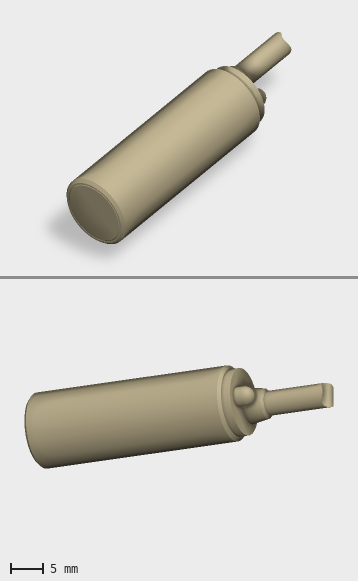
import cadquery as cq

total_length = 48.7

sleeve_diameter = 12.0
sleeve_length = 33.55
sleeve_chamfer = 0.5
bore_diameter = 10.4

face_chamfer = 0.17
cap_diameter = 10.6
cap_end = 35.0

cable_diameter = 3.9
cable_x = -2.3
cable_wave_height = 0.465

relief_base_diameter = 5.75
relief_tip_diameter = 4.8
relief_end = 38.25
relief_edge = 0.4

lamp_diameter = 3.0
lamp_x = 2.6
lamp_dome_start = 36.35


def cylinder(diameter, start, end, x=0.0):
    """Cylinder parallel to Y between two Y positions."""
    plane = cq.Plane(origin=(x, start, 0), xDir=(1, 0, 0), normal=(0, 1, 0))
    return cq.Workplane(plane).circle(diameter / 2).extrude(end - start)


def make_sleeve():
    """Tube with both outer rims chamfered."""
    tube = cylinder(sleeve_diameter, 0, sleeve_length).faces("<Y or >Y").chamfer(sleeve_chamfer)
    return tube.cut(cylinder(bore_diameter, 0, sleeve_length))


def make_strain_relief():
    """Tapered boot around the cable with a bevelled tip."""
    base_radius = relief_base_diameter / 2
    tip_radius = relief_tip_diameter / 2
    profile = (
        cq.Workplane("XY", origin=(cable_x, 0, 0))
        .moveTo(0, cap_end)
        .lineTo(base_radius, cap_end)
        .lineTo(tip_radius, relief_end - relief_edge)
        .lineTo(tip_radius - relief_edge, relief_end)
        .lineTo(0, relief_end)
        .close()
    )
    return profile.revolve(360, (0, 0, 0), (0, 1, 0))


def make_cable():
    """Round cable whose end is cut by an S-shaped wave running across X."""
    radius = cable_diameter / 2
    wave_middle = total_length - cable_wave_height
    wave_bottom = wave_middle - cable_wave_height
    outline = (
        cq.Workplane("XY", origin=(cable_x, 0, 0))
        .moveTo(-radius, cap_end)
        .lineTo(-radius, wave_middle)
        .threePointArc((-radius / 2, total_length), (0, wave_middle))
        .threePointArc((radius / 2, wave_bottom), (radius, wave_middle))
        .lineTo(radius, cap_end)
        .close()
        .extrude(radius, both=True)
    )
    return cylinder(cable_diameter, cap_end, total_length, cable_x).intersect(outline)


def make_lamp():
    """Indicator lamp: a short cylinder with a hemispherical dome."""
    dome = cq.Workplane("XY", origin=(lamp_x, lamp_dome_start, 0)).sphere(lamp_diameter / 2)
    return cylinder(lamp_diameter, cap_end, lamp_dome_start, lamp_x).union(dome)


def make_core():
    """Rod filling the sleeve bore, with the cap seated on the sleeve end."""
    rod = cylinder(bore_diameter, 0, sleeve_length).faces("<Y").chamfer(face_chamfer)
    cap = cylinder(cap_diameter, sleeve_length, cap_end)
    return rod.union(cap).union(make_strain_relief()).union(make_cable()).union(make_lamp())


sleeve = make_sleeve()
core = make_core()

result = cq.Compound.makeCompound([sleeve.val(), core.val()])